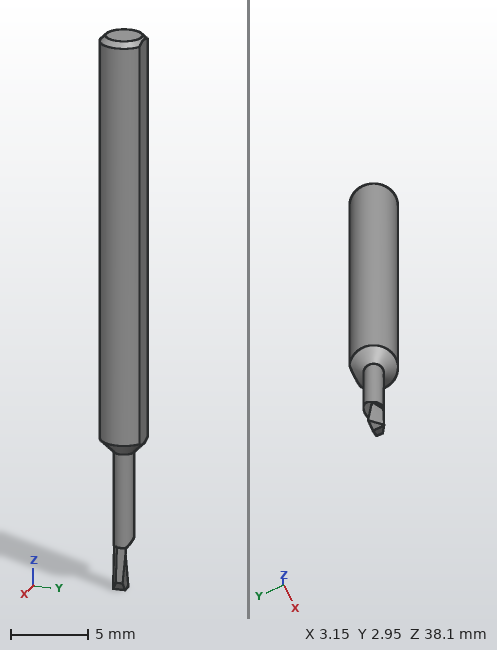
import cadquery as cq
import math

total_length = 38.1
shank_diameter = 3.15
shank_radius = shank_diameter / 2
shank_depth = 2.95
flat_distance = shank_depth - shank_radius
top_chamfer = 0.4
neck_diameter = 1.35
neck_radius = neck_diameter / 2
cone_bottom = 9.52
cone_top = cone_bottom + shank_radius - neck_radius
tip_top = 3.1
corner_height = 0.75
corner_reach = 0.8

tip_upper_section = [(0.57, 0.35), (-0.65, -0.2), (0.1, -0.65), (0.6, -0.25)]
tip_lower_section = [(corner_reach, 0.1), (-0.75, 0.05), (0.0, -0.75), (corner_reach, -0.3)]


def make_body():
    """Shank, shoulder and neck as one turned shape, with the flat on the shank."""
    profile = [
        (0, tip_top),
        (neck_radius, tip_top),
        (neck_radius, cone_bottom),
        (shank_radius, cone_top),
        (shank_radius, total_length - top_chamfer),
        (shank_radius - top_chamfer, total_length),
        (0, total_length),
    ]
    body = cq.Workplane("XZ").polyline(profile).close().revolve(360, (0, 0), (0, 1))
    flat_cutter = (
        cq.Workplane("XY", origin=(0, shank_radius, 0))
        .rect(2 * shank_radius, 2 * (shank_radius - flat_distance))
        .extrude(total_length)
    )
    return body.cut(flat_cutter)


def make_runout_cutter():
    """45 degree wedge that runs the rake face out through the end of the neck."""
    edge_x, edge_y = tip_upper_section[0]
    back_x, back_y = tip_upper_section[1]
    rake_angle = math.atan2(edge_y - back_y, edge_x - back_x)
    along_rake = cq.Vector(math.cos(rake_angle), math.sin(rake_angle), 0)
    plane = cq.Plane(origin=(edge_x, edge_y, tip_top), xDir=(0, 0, 1), normal=-along_rake)
    depth = 2 * neck_radius
    wedge = cq.Workplane(plane).polyline([(0, 0), (depth, depth), (0, depth)]).close()
    return wedge.extrude(2 * neck_radius, both=True)


def make_tip():
    """Tapered cutting tip with the end sloped at 45 degrees up to the cutting corner."""
    tip = (
        cq.Workplane("XY").polyline(tip_lower_section).close()
        .workplane(offset=tip_top).polyline(tip_upper_section).close()
        .loft(ruled=True)
    )
    end_relief = (
        cq.Workplane("XZ")
        .polyline([
            (corner_reach - corner_height, 0),
            (corner_reach, 0),
            (corner_reach, corner_height),
        ])
        .close()
        .extrude(shank_radius, both=True)
    )
    return tip.cut(end_relief)


result = make_body().cut(make_runout_cutter()).union(make_tip())